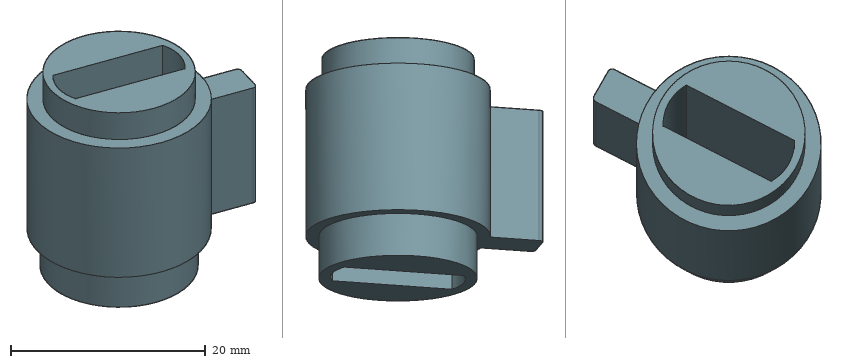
import cadquery as cq
import math

body_diameter = 19.0
bottom_diameter = 16.3
top_diameter = 15.7
bottom_height = 4.5
body_height = 15.75
top_height = 3.25
total_height = bottom_height + body_height + top_height

overall_length = 24.45
tab_width = 4.0
tab_height = 14.0
tab_corner_radius = 0.5
tab_reach = overall_length - body_diameter / 2

slot_width = 5.04
slot_length = 14.0
slot_end_radius = 5.0


def cylinder(diameter, height, base_z):
    return cq.Workplane("XY").workplane(offset=base_z).circle(diameter / 2).extrude(height)


def make_body():
    bottom = cylinder(bottom_diameter, bottom_height, 0)
    middle = cylinder(body_diameter, body_height, bottom_height)
    top = cylinder(top_diameter, top_height, bottom_height + body_height)
    return bottom.union(middle).union(top)


def make_tab():
    return (
        cq.Workplane("XY")
        .workplane(offset=bottom_height)
        .center(0, tab_reach / 2)
        .rect(tab_width, tab_reach)
        .extrude(tab_height)
        .edges("|Z and >Y")
        .fillet(tab_corner_radius)
    )


def make_slot():
    half_width = slot_width / 2
    half_length = slot_length / 2
    arc_rise = slot_end_radius - math.sqrt(slot_end_radius**2 - half_width**2)
    corner_y = half_length - arc_rise
    return (
        cq.Workplane("XY")
        .moveTo(-half_width, -corner_y)
        .threePointArc((0, -half_length), (half_width, -corner_y))
        .lineTo(half_width, corner_y)
        .threePointArc((0, half_length), (-half_width, corner_y))
        .close()
        .extrude(total_height)
    )


result = make_body().union(make_tab()).cut(make_slot())